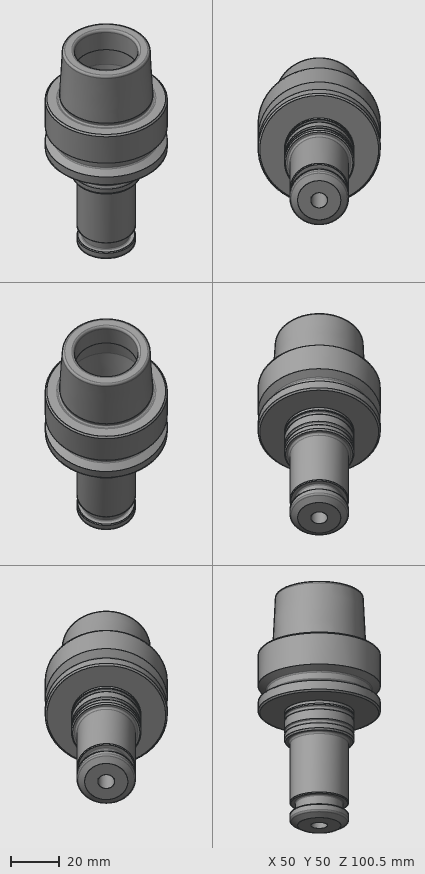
import cadquery as cq
import math

TOTAL_HEIGHT = 100.5
FLANGE_BOTTOM = 49.4
FLANGE_TOP = 75.5

FLANGE_RADIUS = 50.0 / 2
FLANGE_CHAMFER = 0.7
GRIPPER_FLOOR_RADIUS = 43.0 / 2
GRIPPER_CENTRE = 57.6
GRIPPER_WIDTH = 7.1
GRIPPER_FLANK_ANGLE = 28
GRIPPER_FILLET = 0.6

TAPER_TOP_RADIUS = 18.0
TAPER_SLOPE = 1 / 20
TAPER_BOTTOM = 77.3
TAPER_TOP_FILLET = 1.0
RELIEF_RADIUS = 38.0 / 2
RELIEF_CHAMFER = 0.5
RELIEF_FILLET = 0.7
RECESS_INNER_RADIUS = RELIEF_RADIUS + RELIEF_FILLET
RECESS_OUTER_RADIUS = 20.3
RECESS_DEPTH = 0.1

COLLAR_RADIUS = 28.5 / 2
COLLAR_BOTTOM = 36.6
COLLAR_CHAMFER_WIDTH = 0.5
COLLAR_CHAMFER_HEIGHT = 0.8
RING_GROOVE_CENTRES = (40.5, 46.5)
RING_GROOVE_WIDTH = 2.0
RING_GROOVE_DEPTH = 0.6
RING_GROOVE_CHAMFER_WIDTH = 0.3
RING_GROOVE_CHAMFER_HEIGHT = 0.4
UNDERCUT_BOTTOM = 48.1
UNDERCUT_DEPTH = 0.4

BARREL_RADIUS = 24.0 / 2
BARREL_BOTTOM = 9.6
BARREL_TOP_FILLET = 0.9
EDGE_CHAMFER = 0.4
NECK_RADIUS = 19.5 / 2
NECK_FILLET = 0.3
HEAD_TOP = 5.0
HEAD_CONE_ANGLE = 30
HEAD_EDGE_FILLET = 1.0
HEAD_FACE_RADIUS = 8.8

MOUTH_RADIUS = 26.0 / 2
MOUTH_FILLET = 1.1
MOUTH_DEPTH = 9.9
CHAMBER_RADIUS = 32.0 / 2
CHAMBER_SHOULDER_ANGLE = 30
CHAMBER_BOTTOM = 80.7
CHAMBER_FUNNEL_TILT = 10
FLOOR_RADIUS = 11.7
FLOOR_FILLET = 2.0
SOCKET_RADIUS = 15.0 / 2
SOCKET_CHAMFER = 0.6
SOCKET_DEPTH = 15.1
THROUGH_RADIUS = 6.8 / 2


def revolve(profile):
    """Turn a closed (radius, height) profile about the Z axis."""
    return profile.close().revolve(360, (0, 0, 0), (0, 1, 0))


def cylinder(radius, bottom, top):
    return cq.Workplane("XY", origin=(0, 0, bottom)).circle(radius).extrude(top - bottom)


def make_gripper_groove():
    """V groove with a flat floor, its flanks blended into the floor."""
    flank_angle = math.radians(GRIPPER_FLANK_ANGLE)
    half_mouth = GRIPPER_WIDTH / 2
    half_floor = half_mouth - (FLANGE_RADIUS - GRIPPER_FLOOR_RADIUS) * math.tan(flank_angle)
    tangent = GRIPPER_FILLET * math.tan((math.pi / 2 - flank_angle) / 2)
    blend_radius = GRIPPER_FLOOR_RADIUS + tangent * math.cos(flank_angle)
    half_blend = half_floor + tangent * math.sin(flank_angle)
    half_flat = half_floor - tangent
    return revolve(
        cq.Workplane("XZ", origin=(0, 0, GRIPPER_CENTRE))
        .moveTo(FLANGE_RADIUS, -half_mouth)
        .lineTo(blend_radius, -half_blend)
        .radiusArc((GRIPPER_FLOOR_RADIUS, -half_flat), GRIPPER_FILLET)
        .lineTo(GRIPPER_FLOOR_RADIUS, half_flat)
        .radiusArc((blend_radius, half_blend), GRIPPER_FILLET)
        .lineTo(FLANGE_RADIUS, half_mouth)
    )


def make_flange():
    flange = cylinder(FLANGE_RADIUS, FLANGE_BOTTOM, FLANGE_TOP).edges().chamfer(FLANGE_CHAMFER)
    recess = revolve(
        cq.Workplane("XZ")
        .moveTo(0, FLANGE_TOP)
        .lineTo(RECESS_OUTER_RADIUS, FLANGE_TOP)
        .lineTo(RECESS_INNER_RADIUS, FLANGE_TOP - RECESS_DEPTH)
        .lineTo(0, FLANGE_TOP - RECESS_DEPTH)
    )
    return flange.cut(recess).cut(make_gripper_groove())


def make_shank():
    root = FLANGE_TOP - RECESS_DEPTH
    taper_bottom_radius = TAPER_TOP_RADIUS + TAPER_SLOPE * (TOTAL_HEIGHT - TAPER_BOTTOM)
    shank = revolve(
        cq.Workplane("XZ")
        .moveTo(0, root)
        .lineTo(RECESS_INNER_RADIUS, root)
        .radiusArc((RELIEF_RADIUS, root + RELIEF_FILLET), RELIEF_FILLET)
        .lineTo(RELIEF_RADIUS, TAPER_BOTTOM - RELIEF_CHAMFER)
        .lineTo(taper_bottom_radius, TAPER_BOTTOM)
        .lineTo(TAPER_TOP_RADIUS, TOTAL_HEIGHT)
        .lineTo(0, TOTAL_HEIGHT)
    )
    return shank.faces(">Z").edges().fillet(TAPER_TOP_FILLET)


def make_ring_groove(centre):
    """Round-bottomed ring groove with chamfered mouth edges."""
    half_width = RING_GROOVE_WIDTH / 2
    half_arc = half_width - RING_GROOVE_CHAMFER_HEIGHT
    arc_radius = COLLAR_RADIUS - RING_GROOVE_CHAMFER_WIDTH
    return revolve(
        cq.Workplane("XZ")
        .moveTo(COLLAR_RADIUS, centre - half_width)
        .lineTo(arc_radius, centre - half_arc)
        .threePointArc((COLLAR_RADIUS - RING_GROOVE_DEPTH, centre), (arc_radius, centre + half_arc))
        .lineTo(COLLAR_RADIUS, centre + half_width)
    )


def make_collar():
    undercut_middle = (UNDERCUT_BOTTOM + FLANGE_BOTTOM) / 2
    collar = revolve(
        cq.Workplane("XZ")
        .moveTo(0, COLLAR_BOTTOM)
        .lineTo(COLLAR_RADIUS - COLLAR_CHAMFER_WIDTH, COLLAR_BOTTOM)
        .lineTo(COLLAR_RADIUS, COLLAR_BOTTOM + COLLAR_CHAMFER_HEIGHT)
        .lineTo(COLLAR_RADIUS, UNDERCUT_BOTTOM)
        .threePointArc((COLLAR_RADIUS - UNDERCUT_DEPTH, undercut_middle), (COLLAR_RADIUS, FLANGE_BOTTOM))
        .lineTo(0, FLANGE_BOTTOM)
    )
    for centre in RING_GROOVE_CENTRES:
        collar = collar.cut(make_ring_groove(centre))
    return collar


def make_head():
    cone_angle = math.radians(HEAD_CONE_ANGLE)
    cone_height = (BARREL_RADIUS - HEAD_FACE_RADIUS) * math.tan(cone_angle)
    tangent = HEAD_EDGE_FILLET * math.tan((math.pi / 2 - cone_angle) / 2)
    return revolve(
        cq.Workplane("XZ")
        .lineTo(HEAD_FACE_RADIUS, 0)
        .lineTo(BARREL_RADIUS - tangent * math.cos(cone_angle), cone_height - tangent * math.sin(cone_angle))
        .radiusArc((BARREL_RADIUS, cone_height + tangent), -HEAD_EDGE_FILLET)
        .lineTo(BARREL_RADIUS, HEAD_TOP - EDGE_CHAMFER)
        .lineTo(BARREL_RADIUS - EDGE_CHAMFER, HEAD_TOP)
        .lineTo(0, HEAD_TOP)
    )


def make_neck():
    return revolve(
        cq.Workplane("XZ")
        .moveTo(0, HEAD_TOP)
        .lineTo(NECK_RADIUS + NECK_FILLET, HEAD_TOP)
        .radiusArc((NECK_RADIUS, HEAD_TOP + NECK_FILLET), NECK_FILLET)
        .lineTo(NECK_RADIUS, BARREL_BOTTOM - NECK_FILLET)
        .radiusArc((NECK_RADIUS + NECK_FILLET, BARREL_BOTTOM), NECK_FILLET)
        .lineTo(0, BARREL_BOTTOM)
    )


def make_barrel():
    return revolve(
        cq.Workplane("XZ")
        .moveTo(0, BARREL_BOTTOM)
        .lineTo(BARREL_RADIUS - EDGE_CHAMFER, BARREL_BOTTOM)
        .lineTo(BARREL_RADIUS, BARREL_BOTTOM + EDGE_CHAMFER)
        .lineTo(BARREL_RADIUS, COLLAR_BOTTOM - BARREL_TOP_FILLET)
        .radiusArc((BARREL_RADIUS + BARREL_TOP_FILLET, COLLAR_BOTTOM), BARREL_TOP_FILLET)
        .lineTo(0, COLLAR_BOTTOM)
    )


def make_bore():
    mouth_bottom = TOTAL_HEIGHT - MOUTH_DEPTH
    shoulder_drop = (CHAMBER_RADIUS - MOUTH_RADIUS) * math.tan(math.radians(CHAMBER_SHOULDER_ANGLE))
    funnel_tilt = math.radians(CHAMBER_FUNNEL_TILT)
    funnel_end_radius = FLOOR_RADIUS + FLOOR_FILLET * math.cos(funnel_tilt)
    funnel_end = CHAMBER_BOTTOM - (CHAMBER_RADIUS - funnel_end_radius) / math.tan(funnel_tilt)
    floor = funnel_end - FLOOR_FILLET * (1 - math.sin(funnel_tilt))
    socket_bottom = floor - SOCKET_DEPTH
    return revolve(
        cq.Workplane("XZ")
        .lineTo(THROUGH_RADIUS, 0)
        .lineTo(THROUGH_RADIUS, socket_bottom)
        .lineTo(SOCKET_RADIUS, socket_bottom)
        .lineTo(SOCKET_RADIUS, floor - SOCKET_CHAMFER)
        .lineTo(SOCKET_RADIUS + SOCKET_CHAMFER, floor)
        .lineTo(FLOOR_RADIUS, floor)
        .radiusArc((funnel_end_radius, funnel_end), -FLOOR_FILLET)
        .lineTo(CHAMBER_RADIUS, CHAMBER_BOTTOM)
        .lineTo(CHAMBER_RADIUS, mouth_bottom - shoulder_drop)
        .lineTo(MOUTH_RADIUS, mouth_bottom)
        .lineTo(MOUTH_RADIUS, TOTAL_HEIGHT - MOUTH_FILLET)
        .radiusArc((MOUTH_RADIUS + MOUTH_FILLET, TOTAL_HEIGHT), MOUTH_FILLET)
        .lineTo(0, TOTAL_HEIGHT)
    )


body = make_flange()
for section in (make_shank(), make_collar(), make_barrel(), make_neck(), make_head()):
    body = body.union(section)
result = body.cut(make_bore())